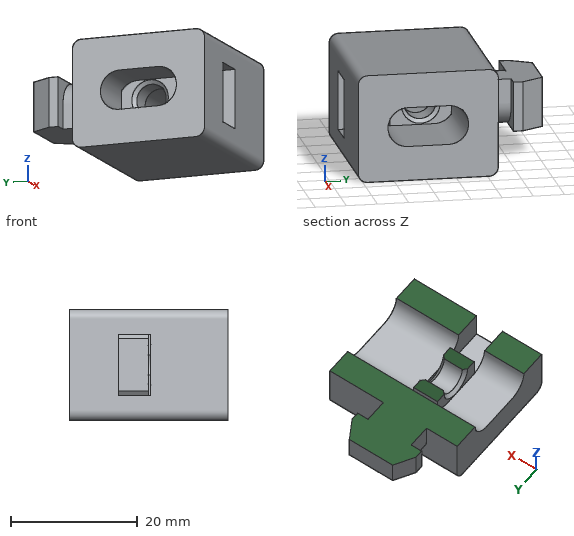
import cadquery as cq

block_width = 25.0
block_depth = 22.5
block_height = 17.5
edge_radius = 1.5

total_depth = 31.5
hook_x = -2.25
hook_height = 8.05
head_width = 12.6
head_length = 5.0
head_rim = 1.55
neck_width = 8.55
neck_length = total_depth - block_depth - head_length
neck_radius = hook_height / 2

slot_length = 12.9
slot_height = 6.35

nut_thickness = 4.72
nut_depth = 9.8
nut_height = 9.6
nut_corner = 0.65
nut_y = 1.13
bore_diameter = 5.0
countersink_diameter = 6.2

pocket_clearance = 0.35
pocket_width = nut_thickness + pocket_clearance
pocket_left = -4.8
pocket_end = nut_y + nut_depth / 2

block_back = block_depth / 2


def make_block():
    block = cq.Workplane("XY").box(block_width, block_depth, block_height)
    return block.edges("|X").fillet(edge_radius)


def make_head():
    """Tapered head, narrowing towards +Y."""
    base_y = block_back + neck_length
    rim_y = base_y + head_rim
    tip_y = base_y + head_length
    return (
        cq.Workplane("XY", origin=(hook_x, 0, -hook_height / 2))
        .moveTo(-head_width / 2, base_y)
        .lineTo(head_width / 2, base_y)
        .lineTo(head_width / 2, rim_y)
        .lineTo(neck_width / 2, tip_y)
        .lineTo(-neck_width / 2, tip_y)
        .lineTo(-head_width / 2, rim_y)
        .close()
        .extrude(hook_height)
    )


def make_neck():
    """Rectangular neck with two diagonally opposite edges rounded."""
    neck = (
        cq.Workplane("XY")
        .box(neck_width, neck_length, hook_height)
        .edges("(|Y and <X and >Z) or (|Y and >X and <Z)")
    )
    neck = neck.fillet(neck_radius)
    return neck.translate((hook_x, block_back + neck_length / 2, 0))


def make_slot():
    return cq.Workplane("YZ").slot2D(slot_length, slot_height).extrude(block_width / 2, both=True)


def make_pocket():
    pocket_depth = pocket_end + block_back
    return cq.Workplane("XY").box(pocket_width, pocket_depth, nut_height).translate(
        (pocket_left + pocket_width / 2, pocket_end - pocket_depth / 2, 0)
    )


def make_housing():
    body = make_block().union(make_neck()).union(make_head())
    return body.cut(make_slot()).cut(make_pocket())


def make_nut():
    """Square nut with its axis along X and a bore countersunk at both ends."""
    nut = cq.Workplane("XY").box(nut_thickness, nut_depth, nut_height)
    nut = nut.edges("|X").chamfer(nut_corner)
    nut = nut.faces("<X").workplane().hole(bore_diameter)
    countersink_depth = (countersink_diameter - bore_diameter) / 2
    nut = nut.edges("%CIRCLE").chamfer(countersink_depth)
    return nut.translate((pocket_left + nut_thickness / 2, nut_y, 0))


housing = make_housing()
nut = make_nut()
result = cq.Compound.makeCompound([housing.val(), nut.val()])